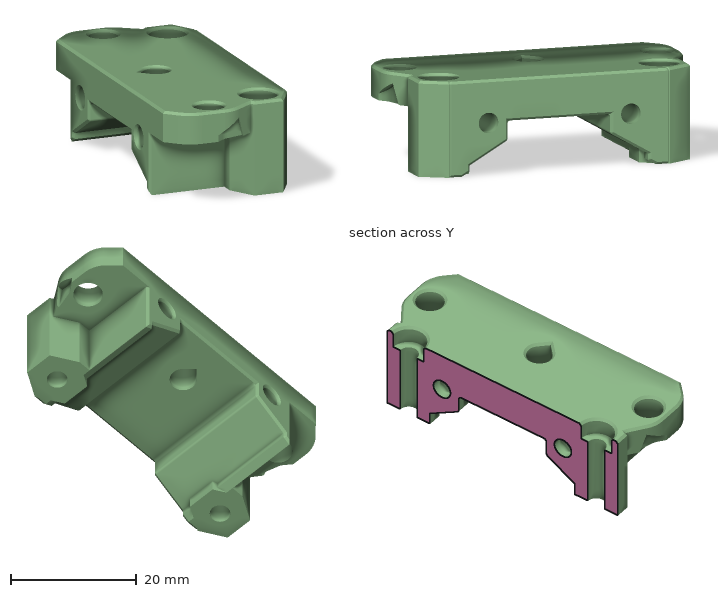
import cadquery as cq
import math

length = 50.7
depth = 23.0
height = 15.5
edge_chamfer = 0.4

ear_underside = 10.4
half_length = length / 2
ear_arc_angle = math.radians(45)
ear_front_radius = 4.95
ear_corner_y = 1.8
ear_flat_start_y = ear_corner_y + ear_front_radius * math.sin(ear_arc_angle)
ear_corner_x = half_length - ear_front_radius * (1 - math.cos(ear_arc_angle))
ear_flat_end_y = 9.3
ear_back_radius = 4.7
ear_back_angle = math.radians(35)
ear_slant_length = 2.9
ear_notch_radius = 7.1
ear_notch_angle = math.radians(25)

boss_x = 18.65
boss_y = 17.9
boss_radius = 4.95
screw_hole = 3.3
counterbore = 6.0
counterbore_depth = 3.05

leg_outer_x = 16.45
slot_top = 8.6
slot_half_top = 8.65
slot_half_bottom = 15.05
slot_slope = math.radians(30)
slot_lip_top = 1.75
slot_lip_bottom = 0.75
slot_corner_radius = 0.5

ear_hole = 4.7
ear_hole_x = 21.75
hole_row_y = 8.05
teardrop_radius = 2.15
cross_hole = 3.3
cross_hole_x = 12.0
cross_hole_z = 8.5

relief_front_y = 8.15
relief_front_z = 11.45
relief_peak_y = 12.15
relief_peak_z = 13.8
relief_back_y = 13.15
relief_corner_x = 24.15
relief_corner_y = 9.75
relief_corner_radius = 2.55
relief_inner_x = 22.85
relief_inner_y = 14.2
relief_overrun = 0.5


def both_sides(half):
    """Join a +X feature with its mirror image on the -X side."""
    return half.union(half.mirror("YZ"))


def turn(start, radius, start_angle, end_angle):
    """Mid and end points of an arc; angles are headings measured from +Y toward -X."""
    def point(angle):
        across = radius * (math.cos(angle) - math.cos(start_angle))
        along = radius * (math.sin(angle) - math.sin(start_angle))
        return (start[0] + across, start[1] + along)

    return point((start_angle + end_angle) / 2), point(end_angle)


def make_plate():
    """Top plate, rounded around the ears and necked in behind them."""
    corner = (ear_corner_x, ear_corner_y)
    flat_start = (half_length, ear_flat_start_y)
    flat_end = (half_length, ear_flat_end_y)
    front_mid, _ = turn(corner, ear_front_radius, -ear_arc_angle, 0)
    back_mid, slant_start = turn(flat_end, ear_back_radius, 0, ear_back_angle)
    slant_end = (
        slant_start[0] - ear_slant_length * math.sin(ear_back_angle),
        slant_start[1] + ear_slant_length * math.cos(ear_back_angle),
    )
    notch_mid, notch_end = turn(slant_end, -ear_notch_radius, ear_back_angle, ear_notch_angle)
    half = (
        cq.Workplane("XY", origin=(0, 0, ear_underside))
        .moveTo(0, 0)
        .lineTo(ear_corner_x - ear_corner_y, 0)
        .lineTo(*corner)
        .threePointArc(front_mid, flat_start)
        .lineTo(*flat_end)
        .threePointArc(back_mid, slant_start)
        .lineTo(*slant_end)
        .threePointArc(notch_mid, notch_end)
        .lineTo(boss_x, boss_y)
        .lineTo(boss_x, depth - edge_chamfer)
        .lineTo(boss_x - edge_chamfer, depth)
        .lineTo(0, depth)
        .close()
        .extrude(height - ear_underside)
    )
    return both_sides(half).faces(">Z").edges().chamfer(edge_chamfer)


def make_legs():
    """Full-depth core of the part; the slot later leaves a leg at each side of it."""
    return (
        cq.Workplane("XY")
        .rect(2 * leg_outer_x, depth)
        .extrude(height - edge_chamfer)
        .edges("|Z")
        .chamfer(edge_chamfer)
        .translate((0, depth / 2, 0))
    )


def make_back_block():
    """Fills the gap between the bosses and the legs, ending level with the front boss corners."""
    block_depth = depth - boss_y + boss_radius
    block = cq.Workplane("XY").rect(2 * boss_x, block_depth).extrude(height - edge_chamfer)
    block = block.translate((0, depth - block_depth / 2, 0))
    return block.faces(">Y").edges("not >Z").chamfer(edge_chamfer)


def slot_profile():
    """Slot outline on the front face, carried below the legs so that it cuts fully through."""
    slope_rise = (slot_half_bottom - slot_half_top) * math.tan(slot_slope)
    below = -slot_lip_bottom
    lip_run = (slot_lip_bottom - below) / math.tan(slot_slope)
    half = [
        (slot_half_top, slot_top),
        (slot_half_top, slot_lip_top + slope_rise),
        (slot_half_bottom, slot_lip_top),
        (slot_half_bottom, slot_lip_bottom),
        (slot_half_bottom + lip_run, below),
    ]
    mirrored = [(-x, z) for x, z in reversed(half)]
    return cq.Workplane("XZ").polyline(half + mirrored).close()


def make_slot():
    """Slot along Y with a chamfered lead-in on the front and back faces."""
    slot = slot_profile().extrude(-depth)
    upper_corners = slot.edges("|Y").edges(">>Z[-1] or >>Z[-2]")
    slot = upper_corners.fillet(slot_corner_radius)
    lead_in = (
        slot_profile()
        .offset2D(edge_chamfer, "intersection")
        .extrude(-edge_chamfer, taper=45)
    )
    back_lead_in = lead_in.mirror("XZ").translate((0, depth, 0))
    return slot.union(lead_in).union(back_lead_in)


def make_bosses():
    corners = [math.radians(30 + 60 * i) for i in range(6)]
    hexagon = [(boss_radius * math.cos(a), boss_radius * math.sin(a)) for a in corners]
    boss = (
        cq.Workplane("XY", origin=(boss_x, boss_y, 0))
        .polyline(hexagon)
        .close()
        .extrude(height)
        .faces(">Z")
        .edges()
        .chamfer(edge_chamfer)
    )
    return both_sides(boss)


def make_reliefs():
    """Sloped-roof pockets shaved from the underside of each ear, next to the boss."""
    beyond = half_length + relief_overrun
    plan_slope = (relief_corner_y - relief_front_y) / (half_length - relief_corner_x)
    plan = (
        cq.Workplane("XY", origin=(0, 0, ear_underside))
        .moveTo(relief_corner_x, relief_corner_y)
        .lineTo(beyond, relief_front_y - plan_slope * relief_overrun)
        .lineTo(beyond, relief_inner_y)
        .lineTo(relief_inner_x, relief_inner_y)
        .close()
        .extrude(height - ear_underside)
        .edges("|Z").edges("<<Y[1]")
        .fillet(relief_corner_radius)
    )
    side = (
        cq.Workplane("YZ")
        .moveTo(relief_front_y, ear_underside)
        .lineTo(relief_front_y, relief_front_z)
        .lineTo(relief_peak_y, relief_peak_z)
        .lineTo(relief_back_y, ear_underside)
        .close()
        .extrude(beyond)
    )
    return both_sides(plan.intersect(side))


def chamfered_hole(diameter, x, y, bottom):
    """Vertical hole down from the top face, with a chamfered mouth."""
    radius = diameter / 2
    hole = cq.Workplane("XY", origin=(x, y, bottom)).circle(radius).extrude(height - bottom)
    mouth = cq.Workplane("XY", origin=(x, y, height)).circle(radius + edge_chamfer)
    return hole.union(mouth.extrude(-edge_chamfer, taper=45))


def make_ear_holes():
    return both_sides(chamfered_hole(ear_hole, ear_hole_x, hole_row_y, 0))


def make_screw_holes():
    through = cq.Workplane("XY", origin=(boss_x, boss_y, 0)).circle(screw_hole / 2).extrude(height)
    seat = chamfered_hole(counterbore, boss_x, boss_y, height - counterbore_depth)
    return both_sides(through.union(seat))


def make_cross_holes():
    radius = cross_hole / 2
    front = cq.Workplane("XZ", origin=(cross_hole_x, 0, cross_hole_z))
    hole = front.circle(radius).extrude(-depth)
    mouth = front.circle(radius + edge_chamfer).extrude(-edge_chamfer, taper=45)
    return both_sides(hole.union(mouth))


def teardrop(radius, z):
    """Circle on a level plane with a right-angled point toward -Y."""
    tangent = radius * math.sqrt(0.5)
    return (
        cq.Workplane("XY", origin=(0, hole_row_y, z))
        .moveTo(-tangent, -tangent)
        .threePointArc((0, radius), (tangent, -tangent))
        .lineTo(0, -2 * tangent)
        .close()
    )


def make_teardrop_hole():
    hole = teardrop(teardrop_radius, 0).extrude(height)
    mouth = teardrop(teardrop_radius + edge_chamfer, height).extrude(-edge_chamfer, taper=45)
    return hole.union(mouth)


body = make_plate().union(make_bosses()).union(make_legs()).union(make_back_block())

body = body.cut(make_slot().cut(make_bosses()))

cutters = [
    make_reliefs(),
    make_ear_holes(),
    make_screw_holes(),
    make_cross_holes(),
    make_teardrop_hole(),
]
for cutter in cutters:
    body = body.cut(cutter)

result = body